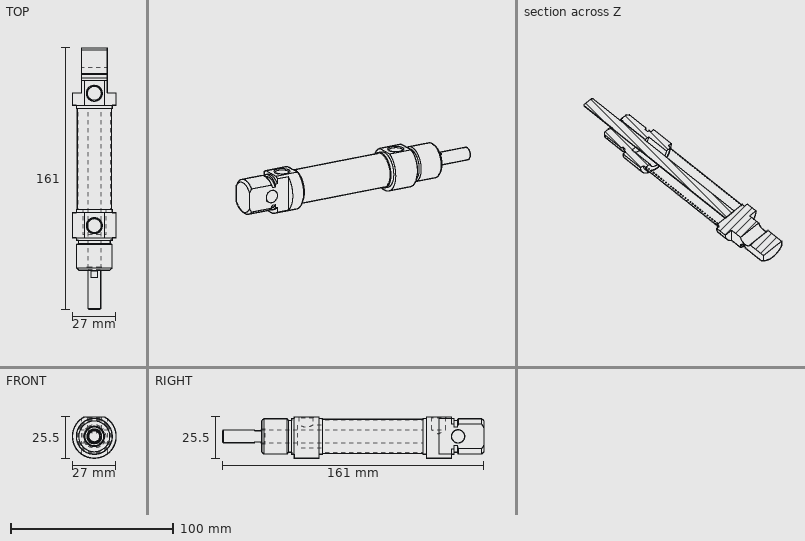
import cadquery as cq
import math


total_length = 161.0
rear_ring_start = 20.0
ring_length = 15.5
collar_length = 2.0
front_ring_start = 101.5
front_face = 137.0
rear_ring_end = rear_ring_start + ring_length
tube_start = rear_ring_end + collar_length
tube_end = front_ring_start - collar_length
front_ring_end = front_ring_start + ring_length
pivot_station = 16.0

ring_diameter = 27.0
port_flat_height = 12.0
collar_diameter = 22.2
outer_collar_length = 1.5
thread_diameter = 22.0
thread_chamfer = 1.5
undercut_diameter = 19.7
undercut_width = 2.7
undercut_flank_length = 0.7

tongue_width = 16.0
pivot_hole_diameter = 8.0

port_diameter = 8.57
port_mouth_diameter = 9.9
port_offset = 8.0
port_depth = 8.0
drill_point_angle = 118.0

tube_outer_diameter = 21.27
tube_inner_diameter = 20.0

rod_diameter = 8.0
rod_tip_diameter = 6.7
rod_tip_chamfer_length = 0.6
rod_flat_gap = 0.25
rod_flat_length = 4.0
rod_across_flats = 7.0
chamber_diameter = 14.2
chamber_end_margin = 2.0
mouth_diameter = 9.1
mouth_depth = 2.0
groove_diameter = 12.05
groove_width = 0.5
groove_depth = 0.4


def turned(profile):
    """Revolve a closed outline of (radius, station) points about the cylinder axis."""
    points = [(radius, -station) for radius, station in profile]
    return cq.Workplane("XY").polyline(points).close().revolve(360, (0, 0, 0), (0, 1, 0))


def cap_outline(face, ring_near, ring_far, tube_face):
    """Outline shared by both caps, from the threaded end face to the face that meets the tube."""
    inward = math.copysign(1, ring_near - face)
    thread_radius = thread_diameter / 2
    undercut_radius = undercut_diameter / 2
    collar_radius = collar_diameter / 2
    ring_radius = ring_diameter / 2
    undercut_end = ring_near - inward * outer_collar_length
    undercut_start = undercut_end - inward * undercut_width
    return [
        (0, face),
        (thread_radius - thread_chamfer, face),
        (thread_radius, face + inward * thread_chamfer),
        (thread_radius, undercut_start),
        (undercut_radius, undercut_start + inward * undercut_flank_length),
        (undercut_radius, undercut_end),
        (collar_radius, undercut_end),
        (collar_radius, ring_near),
        (ring_radius, ring_near),
        (ring_radius, ring_far),
        (collar_radius, ring_far),
        (collar_radius, tube_face),
        (0, tube_face),
    ]


def cut_port_flat(cap):
    """Mill the top of the ring flat; only the ring reaches above this height."""
    cutter = cq.Workplane("XY").box(
        ring_diameter, total_length, ring_diameter, centered=(True, True, False)
    )
    return cap.cut(cutter.translate((0, -total_length / 2, port_flat_height)))


def port_cutter(station):
    """Drilled port with a countersunk mouth, pointing down from the flat."""
    port_radius = port_diameter / 2
    mouth_radius = port_mouth_diameter / 2
    countersink_depth = mouth_radius - port_radius
    drill_bottom = port_flat_height - port_depth
    point_length = port_radius / math.tan(math.radians(drill_point_angle / 2))
    outline = [
        (0, port_flat_height),
        (mouth_radius, port_flat_height),
        (port_radius, port_flat_height - countersink_depth),
        (port_radius, drill_bottom),
        (0, drill_bottom - point_length),
    ]
    cutter = cq.Workplane("XZ").polyline(outline).close().revolve(360, (0, 0, 0), (0, 1, 0))
    return cutter.translate((0, -station, 0))


def make_rear_cap():
    cap = turned(cap_outline(0, rear_ring_start, rear_ring_end, tube_start))
    cap = cut_port_flat(cap)
    tongue_length = (rear_ring_start + rear_ring_end) / 2

    for side in (-1, 1):
        side_cutter = cq.Workplane("XY").box(ring_diameter, tongue_length, 2 * ring_diameter)
        offset = side * (tongue_width + ring_diameter) / 2
        cap = cap.cut(side_cutter.translate((offset, -tongue_length / 2, 0)))

    pivot = cq.Workplane("YZ").center(-pivot_station, 0).circle(pivot_hole_diameter / 2)
    cap = cap.cut(pivot.extrude(tongue_width, both=True))
    return cap.cut(port_cutter(rear_ring_start + port_offset))


def make_front_cap():
    cap = turned(cap_outline(front_face, front_ring_end, front_ring_start, tube_end))
    cap = cut_port_flat(cap)
    cap = cap.cut(port_cutter(front_ring_start + port_offset))

    chamber_end = front_ring_end - chamber_end_margin
    rod_radius = rod_diameter / 2
    chamber_radius = chamber_diameter / 2
    bore = turned([
        (0, tube_end),
        (chamber_radius, tube_end),
        (chamber_radius, chamber_end),
        (rod_radius, chamber_end),
        (rod_radius, front_face),
        (0, front_face),
    ])

    clearance = turned([
        (0, front_face),
        (mouth_diameter / 2, front_face),
        (mouth_diameter / 2, front_face - mouth_depth),
        (0, front_face - mouth_depth),
    ])

    groove_radius = groove_diameter / 2
    half_width = groove_width / 2
    groove = turned([
        (groove_radius - half_width, front_face),
        (groove_radius + half_width, front_face),
        (groove_radius, front_face - groove_depth),
    ])
    return cap.cut(bore).cut(clearance).cut(groove)


def make_tube():
    return turned([
        (tube_inner_diameter / 2, tube_start),
        (tube_outer_diameter / 2, tube_start),
        (tube_outer_diameter / 2, tube_end),
        (tube_inner_diameter / 2, tube_end),
    ])


def make_piston_rod():
    rod_radius = rod_diameter / 2
    rod = turned([
        (0, tube_start),
        (rod_radius, tube_start),
        (rod_radius, total_length - rod_tip_chamfer_length),
        (rod_tip_diameter / 2, total_length),
        (0, total_length),
    ])

    flat_centre = front_face + rod_flat_gap + rod_flat_length / 2
    for side in (-1, 1):
        flat_cutter = cq.Workplane("XY").box(rod_diameter, rod_flat_length, rod_diameter)
        offset = side * (rod_across_flats + rod_diameter) / 2
        rod = rod.cut(flat_cutter.translate((0, -flat_centre, offset)))
    return rod


rear_cap = make_rear_cap()
front_cap = make_front_cap()
tube = make_tube()
piston_rod = make_piston_rod()

result = cq.Compound.makeCompound([rear_cap.val(), front_cap.val(), tube.val(), piston_rod.val()])